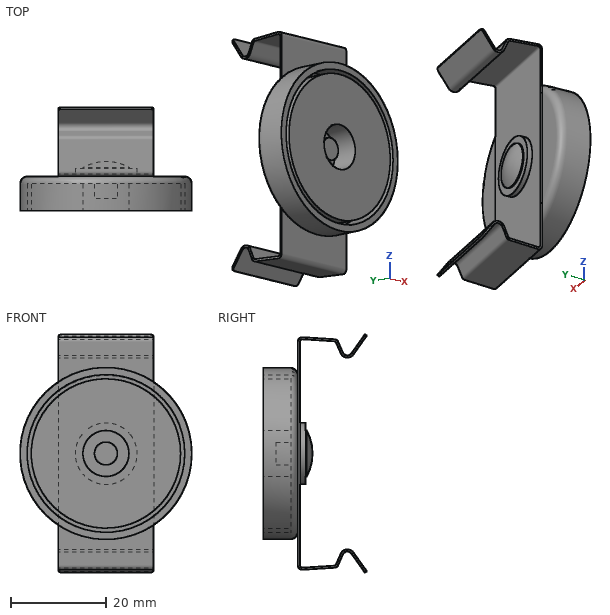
import cadquery as cq
import math

CUP_DIAMETER = 36.1
CUP_DEPTH = 7.25
CUP_EDGE_RADIUS = 1.6
GAP_OUTER_DIAMETER = 33.1
MAGNET_DIAMETER = 31.35
CUP_FLOOR = 1.5
HOLE_DIAMETER = 9.65
SHANK_DIAMETER = 4.8
SHANK_RECESS = 2.6

SHEET = 0.5
CLIP_WIDTH = 20.0
CLIP_CORNER_RADIUS = 0.75
BASE_BEND_RADIUS = 0.5
SHOULDER_BEND_RADIUS = 0.5
VALLEY_BEND_RADIUS = 1.05
CENTER_Y = CUP_DEPTH + SHEET / 2
BASE_CORNER = (CENTER_Y, 24.2)
SHOULDER = (15.35, 23.7)
VALLEY = (17.4, 19.0)
LIP_TIP = (21.55, 24.85)

WASHER_DIAMETER = 12.95
WASHER_THICKNESS = 1.15
RIVET_DIAMETER = 9.7
RIVET_RIM = 0.25
RIVET_DOME = 1.25
WASHER_BACK = CUP_DEPTH + SHEET + WASHER_THICKNESS


def disc(diameter, start_y, length):
    """Cylinder along +Y, starting at start_y."""
    plane = cq.Plane(origin=(0, start_y, 0), xDir=(1, 0, 0), normal=(0, 1, 0))
    return cq.Workplane(plane).circle(diameter / 2).extrude(length)


def offset_path(points, distance):
    """Offset an open polyline sideways, with mitred corners; positive is to the left."""
    normals = []
    for (y0, z0), (y1, z1) in zip(points, points[1:]):
        length = math.hypot(y1 - y0, z1 - z0)
        normals.append(((z0 - z1) / length, (y1 - y0) / length))
    shifted = []
    for (y, z), before, after in zip(points, normals[:1] + normals, normals + normals[-1:]):
        miter = distance / (1 + before[0] * after[0] + before[1] * after[1])
        shifted.append((y + miter * (before[0] + after[0]), z + miter * (before[1] + after[1])))
    return shifted


def make_magnet_cup():
    cup = disc(CUP_DIAMETER, 0, CUP_DEPTH).faces(">Y").edges().fillet(CUP_EDGE_RADIUS)
    gap_depth = CUP_DEPTH - CUP_FLOOR
    gap = disc(GAP_OUTER_DIAMETER, 0, gap_depth).cut(disc(MAGNET_DIAMETER, 0, gap_depth))
    hole = disc(HOLE_DIAMETER, 0, gap_depth)
    rivet_shank = disc(SHANK_DIAMETER, SHANK_RECESS, CUP_DEPTH - SHANK_RECESS)
    return cup.cut(gap).cut(hole).union(rivet_shank)


def make_clip_half():
    path = [(CENTER_Y, 0), BASE_CORNER, SHOULDER, VALLEY, LIP_TIP]
    left = offset_path(path, SHEET / 2)
    right = offset_path(path, -SHEET / 2)
    half = cq.Workplane("YZ").polyline(left + right[::-1]).close().extrude(CLIP_WIDTH / 2, both=True)

    bends = [
        (1, right, left, BASE_BEND_RADIUS),
        (2, right, left, SHOULDER_BEND_RADIUS),
        (3, left, right, VALLEY_BEND_RADIUS),
    ]
    for corner, inside, outside, inside_radius in bends:
        half = half.edges(cq.NearestToPointSelector((0, *inside[corner]))).fillet(inside_radius)
        half = half.edges(cq.NearestToPointSelector((0, *outside[corner]))).fillet(inside_radius + SHEET)

    for side in (-1, 1):
        lip_corner = (side * CLIP_WIDTH / 2, *LIP_TIP)
        half = half.edges(cq.NearestToPointSelector(lip_corner)).fillet(CLIP_CORNER_RADIUS)
    return half


def make_rivet_head():
    washer = disc(WASHER_DIAMETER, CUP_DEPTH + SHEET, WASHER_THICKNESS)
    radius = RIVET_DIAMETER / 2
    rim_y = WASHER_BACK + RIVET_RIM
    dome_radius = (radius**2 + RIVET_DOME**2) / (2 * RIVET_DOME)
    apex_y = rim_y + RIVET_DOME
    half_angle = math.asin(radius / dome_radius) / 2
    dome_middle = (
        dome_radius * math.sin(half_angle),
        apex_y - dome_radius * (1 - math.cos(half_angle)),
    )
    head = (
        cq.Workplane("XY")
        .moveTo(0, WASHER_BACK)
        .lineTo(radius, WASHER_BACK)
        .lineTo(radius, rim_y)
        .threePointArc(dome_middle, (0, apex_y))
        .close()
        .revolve(360, (0, 0, 0), (0, 1, 0))
    )
    return washer.union(head)


clip_half = make_clip_half()
clip = clip_half.union(clip_half.mirror("XY"))
result = make_magnet_cup().union(clip).union(make_rivet_head())